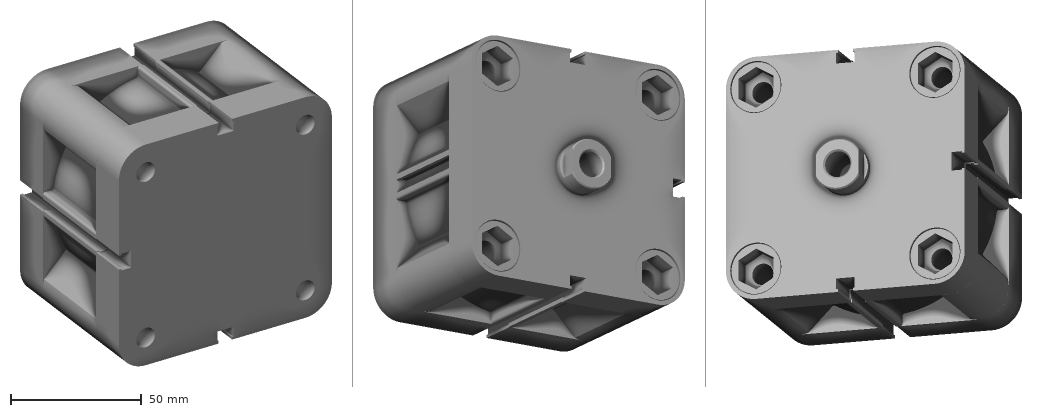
import cadquery as cq
import math


SIDE = 96.0
HALF_SIDE = SIDE / 2
CAP_THICKNESS = 16.5
OVERALL_LENGTH = 81.5
BODY_LENGTH = 71.5
BARREL_LENGTH = BODY_LENGTH - 2 * CAP_THICKNESS
CORNER_RADIUS = 12.0
BOLT_OFFSET = HALF_SIDE - CORNER_RADIUS

SIDE_ANGLES = [0, 90, 180, 270]
CAP_SLOT_ANGLES = SIDE_ANGLES[:3]

BOLT_HOLE_DIAMETER = 8.4
HEX_ACROSS_FLATS = 14.0
HEX_DEPTH = 8.7
RECESS_DIAMETER = 20.5
RECESS_DEPTH = 0.5
GROOVE_WIDTH = 0.4
GROOVE_DEPTH = 1.4

SLOT_MOUTH_WIDTH = 5.3
SLOT_INNER_WIDTH = 6.5
SLOT_DEPTH = 5.0
SLOT_LIP = 1.5
CAP_SLOT_CLEARANCE = 0.4

TUBE_RADIUS = 43.6
WEB_HALF_WIDTH = 10.6
RIB_WIDTH = 10.6
BARREL_FILLET = 1.0
EDGE_TOLERANCE = 0.01

ROD_DIAMETER = 20.0
ROD_PROJECTION = OVERALL_LENGTH - BODY_LENGTH
ROD_CHAMFER_LENGTH = 0.6
ROD_CHAMFER_RISE = 0.5
FLATS_WIDTH = 17.0
FLATS_LENGTH = 6.7
FLATS_RUNOUT = 0.5
BORE_DIAMETER = 10.2
BORE_DEPTH = 19.2
BORE_MOUTH_DIAMETER = 11.5
BORE_TIP_ANGLE = 118.0


def section_plane(x):
    """Workplane across the rod axis at x, with local x along +Y and local y along +Z."""
    return cq.Workplane("YZ", origin=(x, 0, 0))


def bolt_points():
    return [(y, z) for y in (-BOLT_OFFSET, BOLT_OFFSET) for z in (-BOLT_OFFSET, BOLT_OFFSET)]


def bolt_holes(x, length):
    return section_plane(x).pushPoints(bolt_points()).circle(BOLT_HOLE_DIAMETER / 2).extrude(length)


def slot(x, length, angle, clearance=0.0):
    """T-slot cutter in the side at the given angle about X, measured from the +Z side."""
    mouth = SLOT_MOUTH_WIDTH / 2 + clearance
    inner = SLOT_INNER_WIDTH / 2 + clearance
    lip_bottom = HALF_SIDE - SLOT_LIP + clearance
    floor = HALF_SIDE - SLOT_DEPTH - clearance
    outline = [
        (-mouth, HALF_SIDE),
        (-mouth, lip_bottom),
        (-inner, lip_bottom),
        (-inner, floor),
        (inner, floor),
        (inner, lip_bottom),
        (mouth, lip_bottom),
        (mouth, HALF_SIDE),
    ]
    cutter = section_plane(x).polyline(outline).close().extrude(length)
    return cutter.rotate((0, 0, 0), (1, 0, 0), angle)


def cap(x):
    """Square end cap with rounded corners, slotted on every side but +Y."""
    body = section_plane(x).rect(SIDE, SIDE).extrude(CAP_THICKNESS)
    body = body.edges("|X").fillet(CORNER_RADIUS)
    body = body.cut(bolt_holes(x, CAP_THICKNESS))
    for angle in CAP_SLOT_ANGLES:
        body = body.cut(slot(x, CAP_THICKNESS, angle, CAP_SLOT_CLEARANCE))
    return body


def front_cap():
    """End cap with hexagon sockets in round recesses, and the hole for the rod."""
    body = cap(0)
    hex_across_corners = HEX_ACROSS_FLATS / math.cos(math.radians(30))
    socket = section_plane(0).polygon(6, hex_across_corners).extrude(HEX_DEPTH)
    socket = socket.rotate((0, 0, 0), (1, 0, 0), 90)
    recess_radius = RECESS_DIAMETER / 2
    recess = section_plane(0).circle(recess_radius).extrude(RECESS_DEPTH)
    groove = section_plane(0).circle(recess_radius).circle(recess_radius - GROOVE_WIDTH).extrude(GROOVE_DEPTH)
    cutter = socket.union(recess).union(groove)
    for y, z in bolt_points():
        body = body.cut(cutter.translate((0, y, z)))
    return body.cut(section_plane(0).circle(ROD_DIAMETER / 2).extrude(CAP_THICKNESS))


def rear_cap():
    return cap(CAP_THICKNESS + BARREL_LENGTH)


def corner_web():
    """Web from the axis to the +Y+Z corner, ending in a round post around the bolt hole."""
    post_center = BOLT_OFFSET * math.sqrt(2)
    straight_end = post_center + math.sqrt(CORNER_RADIUS**2 - WEB_HALF_WIDTH**2)
    web = (
        section_plane(CAP_THICKNESS)
        .moveTo(0, -WEB_HALF_WIDTH)
        .lineTo(straight_end, -WEB_HALF_WIDTH)
        .threePointArc((post_center + CORNER_RADIUS, 0), (straight_end, WEB_HALF_WIDTH))
        .lineTo(0, WEB_HALF_WIDTH)
        .close()
        .extrude(BARREL_LENGTH)
    )
    return web.rotate((0, 0, 0), (1, 0, 0), 45)


def side_rib():
    """Rib that carries the slot on the +Z side."""
    return (
        section_plane(CAP_THICKNESS)
        .center(0, HALF_SIDE / 2)
        .rect(RIB_WIDTH, HALF_SIDE)
        .extrude(BARREL_LENGTH)
    )


def is_rounded_edge(edge):
    """True for the foot edges on the tube surface and the outer edges of the ribs."""
    center = edge.Center()
    radius = math.hypot(center.y, center.z)
    rib_edge_radius = math.hypot(HALF_SIDE, RIB_WIDTH / 2)
    return min(abs(radius - TUBE_RADIUS), abs(radius - rib_edge_radius)) < EDGE_TOLERANCE


def barrel():
    """Round tube body with four corner webs and four slotted side ribs."""
    body = section_plane(CAP_THICKNESS).circle(TUBE_RADIUS).extrude(BARREL_LENGTH)
    for angle in SIDE_ANGLES:
        body = body.union(corner_web().rotate((0, 0, 0), (1, 0, 0), angle))
        body = body.union(side_rib().rotate((0, 0, 0), (1, 0, 0), angle))
    body = body.edges("|X").filter(is_rounded_edge).fillet(BARREL_FILLET)
    for angle in SIDE_ANGLES:
        body = body.cut(slot(CAP_THICKNESS, BARREL_LENGTH, angle))
    return body.cut(bolt_holes(CAP_THICKNESS, BARREL_LENGTH))


def rod_flat():
    """Cutter for the wrench flat on the +Y side, with a sloped end towards the cap."""
    rod_radius = ROD_DIAMETER / 2
    flat_end = FLATS_LENGTH - ROD_PROJECTION
    outline = [
        (-ROD_PROJECTION, FLATS_WIDTH / 2),
        (flat_end, FLATS_WIDTH / 2),
        (flat_end + FLATS_RUNOUT, rod_radius),
        (-ROD_PROJECTION, rod_radius),
    ]
    return cq.Workplane("XY").polyline(outline).close().extrude(rod_radius, both=True)


def rod():
    """Piston rod through the front cap, with a chamfered tip, two flats and a blind bore."""
    tip = -ROD_PROJECTION
    rod_radius = ROD_DIAMETER / 2
    bore_radius = BORE_DIAMETER / 2
    mouth_radius = BORE_MOUTH_DIAMETER / 2
    bore_end = tip + BORE_DEPTH
    cone_length = bore_radius / math.tan(math.radians(BORE_TIP_ANGLE / 2))
    half_section = [
        (bore_end + cone_length, 0),
        (bore_end, bore_radius),
        (tip + mouth_radius - bore_radius, bore_radius),
        (tip, mouth_radius),
        (tip, rod_radius - ROD_CHAMFER_RISE),
        (tip + ROD_CHAMFER_LENGTH, rod_radius),
        (CAP_THICKNESS, rod_radius),
        (CAP_THICKNESS, 0),
    ]
    body = cq.Workplane("XZ").polyline(half_section).close().revolve(360, (0, 0, 0), (1, 0, 0))
    flat = rod_flat()
    return body.cut(flat).cut(flat.mirror("XZ"))


result = cq.Compound.makeCompound([front_cap().val(), barrel().val(), rear_cap().val(), rod().val()])